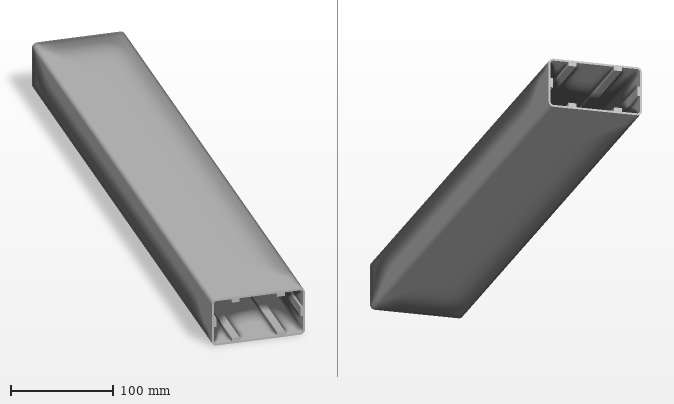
import cadquery as cq

length = 609.5
width = 95.0
height = 50.0
wall = 2.0
corner_radius = 5.0

flat_rib_offset = 23.0
flat_rib_width = 8.0
flat_rib_reach = 5.85

side_rib_height = 10.0
side_rib_reach = 4.6


def bar(bar_width, bar_height, y=0, z=0):
    """Full-length rectangular bar centred on the given place in the section."""
    return cq.Workplane("XY").box(length, bar_width, bar_height).translate((0, y, z))


def make_tube():
    """Hollow rectangular tube with rounded long edges."""
    outside = bar(width, height).edges("|X").fillet(corner_radius)
    inside = bar(width - 2 * wall, height - 2 * wall)
    inside = inside.edges("|X").fillet(corner_radius - wall)
    return outside.cut(inside)


def add_ribs(body):
    """Add the lengthwise ribs, mirrored about both middle planes.

    Each rib starts half a wall below the outer face, so it overlaps the wall.
    """
    root = wall / 2
    flat_rib_thickness = flat_rib_reach - root
    flat_rib_z = height / 2 - (flat_rib_reach + root) / 2
    side_rib_thickness = side_rib_reach - root
    side_rib_y = width / 2 - (side_rib_reach + root) / 2
    for side in (-1, 1):
        for level in (-1, 1):
            rib = bar(flat_rib_width, flat_rib_thickness, side * flat_rib_offset, level * flat_rib_z)
            body = body.union(rib)
        body = body.union(bar(side_rib_thickness, side_rib_height, side * side_rib_y))
    return body


result = add_ribs(make_tube())